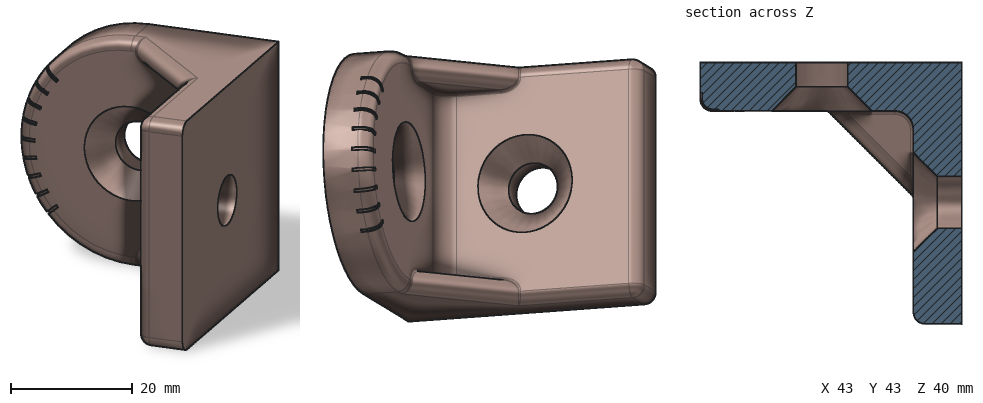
import cadquery as cq
import math


LEG_LENGTH = 43.0
HEIGHT = 40.0
WALL = 8.0
EDGE_RADIUS = 2.0
CORNER_RADIUS = 3.0

GUSSET_LEG = 14.0
GUSSET_THICKNESS = 2 * EDGE_RADIUS
GUSSET_ROOT_RADIUS = 0.5

HOLE_DIAMETER = 8.5
SINK_DIAMETER = 16.4
SINK_DEPTH = WALL / 2

MARK_COUNT = 9
MARK_STEP = 10.0
MARK_WIDTH = 0.5
MARK_DEPTH = 0.3
MARK_RUNOUT = 1.0

HALF_HEIGHT = HEIGHT / 2
ARCH_RADIUS = HALF_HEIGHT
INNER_X = LEG_LENGTH - WALL
INNER_Y = -WALL
HOLE_X = ARCH_RADIUS
HOLE_Y = ARCH_RADIUS - LEG_LENGTH
GUSSET_MID_Z = HALF_HEIGHT - GUSSET_THICKNESS / 2


def make_back_leg():
    """Plate with an arched end; its inner face has rounded edges."""
    plate = (
        cq.Workplane("XZ")
        .moveTo(LEG_LENGTH, HALF_HEIGHT)
        .lineTo(ARCH_RADIUS, HALF_HEIGHT)
        .threePointArc((0, 0), (ARCH_RADIUS, -HALF_HEIGHT))
        .lineTo(LEG_LENGTH, -HALF_HEIGHT)
        .close()
        .extrude(WALL)
    )
    return plate.faces("<Y").edges("not >X").fillet(EDGE_RADIUS)


def make_side_leg():
    """Square plate; all edges away from its outer face and the back leg are rounded."""
    plate = cq.Workplane("XY").box(WALL, LEG_LENGTH, HEIGHT)
    plate = plate.translate((LEG_LENGTH - WALL / 2, -LEG_LENGTH / 2, 0))
    return plate.edges("(not >X) and (not >Y)").fillet(EDGE_RADIUS)


def make_gusset(mid_z):
    """Triangular web across the inside corner with a full round along its sloping edge."""
    edge_plane = cq.Plane(
        origin=(INNER_X - GUSSET_LEG / 2, INNER_Y - GUSSET_LEG / 2, mid_z),
        xDir=(1, 1, 0),
        normal=(1, -1, 0),
    )
    radius = GUSSET_THICKNESS / 2
    bar = (
        cq.Workplane(edge_plane)
        .moveTo(radius, radius)
        .threePointArc((0, 0), (radius, -radius))
        .lineTo(LEG_LENGTH, -radius)
        .lineTo(LEG_LENGTH, radius)
        .close()
        .extrude(LEG_LENGTH, both=True)
    )
    sunk_x = INNER_X + EDGE_RADIUS
    sunk_y = INNER_Y + EDGE_RADIUS
    sunk_leg = GUSSET_LEG + 2 * EDGE_RADIUS
    corner = (
        cq.Workplane("XY")
        .moveTo(sunk_x, sunk_y)
        .lineTo(sunk_x - sunk_leg, sunk_y)
        .lineTo(sunk_x, sunk_y - sunk_leg)
        .close()
        .extrude(HEIGHT, both=True)
    )
    return bar.intersect(corner)


def edges_near_corner(mid_z, half_span_z):
    """Select the edges centred in the inside corner, within a range of heights."""
    return cq.selectors.BoxSelector(
        (INNER_X - CORNER_RADIUS, INNER_Y - CORNER_RADIUS, mid_z - half_span_z),
        (INNER_X + EDGE_RADIUS, INNER_Y + EDGE_RADIUS, mid_z + half_span_z),
    )


def make_body():
    """Legs and gussets with the inside corner and the gusset roots filleted."""
    body = make_back_leg().union(make_side_leg())
    for mid_z in (-GUSSET_MID_Z, GUSSET_MID_Z):
        body = body.union(make_gusset(mid_z))
    body = body.edges(edges_near_corner(0, EDGE_RADIUS)).fillet(CORNER_RADIUS)
    for side in (-1, 1):
        root_z = side * (HALF_HEIGHT - GUSSET_THICKNESS)
        root_arc = edges_near_corner(root_z, GUSSET_ROOT_RADIUS)
        body = body.edges(root_arc).fillet(GUSSET_ROOT_RADIUS)
    return body


def make_screw_cutter():
    """Countersunk hole along +Z, with the countersink mouth at the origin."""
    hole_radius = HOLE_DIAMETER / 2
    sink_radius = SINK_DIAMETER / 2
    return (
        cq.Workplane("XZ")
        .moveTo(0, 0)
        .lineTo(sink_radius, 0)
        .lineTo(hole_radius, SINK_DEPTH)
        .lineTo(hole_radius, WALL)
        .lineTo(0, WALL)
        .close()
        .revolve(360, (0, 0, 0), (0, 1, 0))
    )


def cut_screw_holes(body):
    """One countersunk hole through each leg, entered from the inner faces."""
    cutter = make_screw_cutter()
    back_cutter = cutter.rotate((0, 0, 0), (1, 0, 0), -90).translate((HOLE_X, INNER_Y, 0))
    side_cutter = cutter.rotate((0, 0, 0), (0, 1, 0), 90).translate((INNER_X, HOLE_Y, 0))
    return body.cut(back_cutter).cut(side_cutter)


def make_mark_cutter():
    """Thin band that follows the rim, the rounded edge and the inner face at the arch tip."""
    center_x = EDGE_RADIUS
    center_y = INNER_Y + EDGE_RADIUS
    floor_radius = EDGE_RADIUS - MARK_DEPTH
    outer_radius = EDGE_RADIUS + MARK_DEPTH
    diagonal = math.sqrt(0.5)

    def arc_middle(radius):
        return (center_x - radius * diagonal, center_y - radius * diagonal)

    return (
        cq.Workplane("XY")
        .moveTo(center_x - outer_radius, center_y + MARK_RUNOUT)
        .lineTo(center_x - outer_radius, center_y)
        .threePointArc(arc_middle(outer_radius), (center_x, center_y - outer_radius))
        .lineTo(center_x + MARK_RUNOUT, center_y - outer_radius)
        .lineTo(center_x + MARK_RUNOUT, center_y - floor_radius)
        .lineTo(center_x, center_y - floor_radius)
        .threePointArc(arc_middle(floor_radius), (center_x - floor_radius, center_y))
        .lineTo(center_x - floor_radius, center_y + MARK_RUNOUT)
        .close()
        .extrude(MARK_WIDTH / 2, both=True)
    )


def cut_index_marks(body):
    """Marks spread evenly about the arch tip."""
    cutter = make_mark_cutter()
    axis_start = (ARCH_RADIUS, 0, 0)
    axis_end = (ARCH_RADIUS, 1, 0)
    for index in range(MARK_COUNT):
        angle = (index - (MARK_COUNT - 1) / 2) * MARK_STEP
        body = body.cut(cutter.rotate(axis_start, axis_end, angle))
    return body


result = cut_index_marks(cut_screw_holes(make_body()))